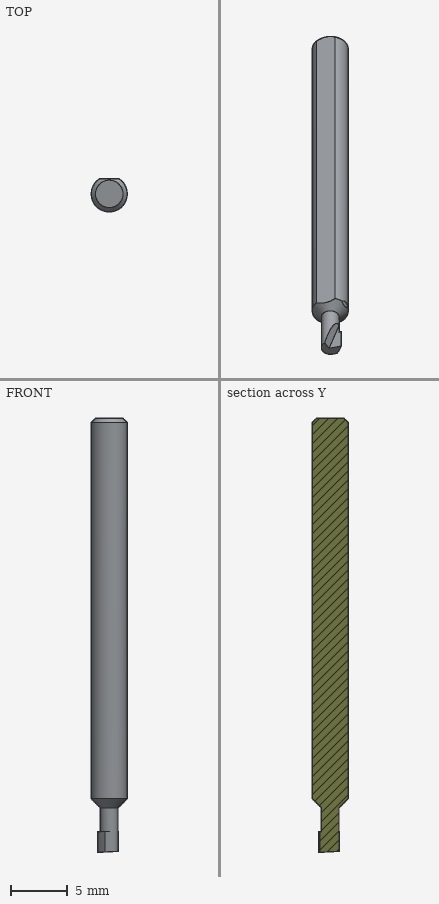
import cadquery as cq

overall_length = 38.1
shank_radius = 3.175 / 2
shank_width = 2.92
flat_offset = shank_width - shank_radius
end_chamfer = 0.38

neck_radius = 0.79
cone_top = 4.72
cone_bottom = cone_top - (shank_radius - neck_radius)

tip_reach = 1.02
tooth_height = 1.83
flank_corner_x = -0.38
flank_bulge = 0.03
end_relief_angle = 3.0

flute_top = 4.97
flute_tilt = 19.0
flute_turn = 14.0

cutter_size = 4 * shank_radius
flute_cutter_height = 4 * flute_top


def make_body():
    """Turned shank, cone and neck."""
    return (
        cq.Workplane("XZ")
        .polyline([
            (0, 0),
            (-neck_radius, 0),
            (-neck_radius, cone_bottom),
            (-shank_radius, cone_top),
            (-shank_radius, overall_length - end_chamfer),
            (end_chamfer - shank_radius, overall_length),
            (0, overall_length),
        ])
        .close()
        .revolve(360, (0, 0), (0, 1))
    )


def make_flat_cutter():
    """Block beyond the locating flat on the +Y side."""
    return (
        cq.Workplane("XY")
        .box(cutter_size, cutter_size, overall_length, centered=(True, False, False))
        .translate((0, flat_offset, 0))
    )


def make_tooth():
    """Prism with a curved flank and a second flank tangent to the neck."""
    return (
        cq.Workplane("XY")
        .moveTo(-tip_reach, 0)
        .sagittaArc((flank_corner_x, -neck_radius), -flank_bulge)
        .lineTo(0, -neck_radius)
        .lineTo(0, 0)
        .close()
        .extrude(tooth_height)
    )


def make_flute_cutter():
    """Space outside the sloping flute plane, limited to the +Y half."""
    outside = (
        cq.Workplane("XY")
        .box(cutter_size, 2 * cutter_size, flute_cutter_height, centered=(False, True, True))
        .translate((-cutter_size, 0, 0))
        .rotate((0, 0, 0), (0, 1, 0), -flute_tilt)
        .translate((-shank_radius, 0, flute_top))
        .rotate((0, 0, 0), (0, 0, 1), -flute_turn)
    )
    rake_half = cq.Workplane("XY").box(
        2 * cutter_size, cutter_size, flute_cutter_height, centered=(True, False, True)
    )
    return outside.intersect(rake_half)


def make_end_relief_cutter():
    """Block below the end face, which rises from the tip toward +X."""
    return (
        cq.Workplane("XY")
        .box(2 * cutter_size, 2 * cutter_size, cutter_size, centered=(True, True, False))
        .translate((0, 0, -cutter_size))
        .rotate((0, 0, 0), (0, 1, 0), -end_relief_angle)
        .translate((-tip_reach, 0, 0))
    )


result = (
    make_body()
    .cut(make_flat_cutter())
    .union(make_tooth())
    .cut(make_flute_cutter())
    .cut(make_end_relief_cutter())
)